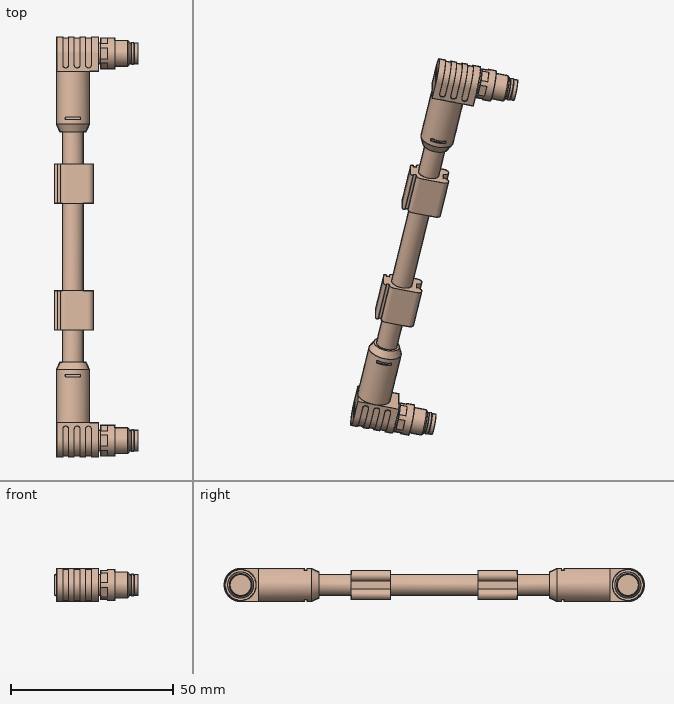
import cadquery as cq
import math

length = 129.6
cable_diameter = 6.5

head_thickness = 10.2
head_radius = head_thickness / 2
head_axis_y = length / 2 - head_radius
head_depth = 10.6
head_left = -5.0
head_right = 7.9
block_end_y = length / 2 - head_depth

grip_depth = 0.32
grip_width = 1.8
grip_count = 3
grip_pitch = 3.5
grip_first_x = -2.2
grip_end_y = length / 2 - 9.6

recess_depth = 0.1
recess_width = 1.7
recess_height = 8.3
recess_start_y = length / 2 - 4.3
recess_corner = 0.4

sleeve_diameter = 10.2
sleeve_end_y = length / 2 - 27.0
cone_end_y = length / 2 - 29.3
cone_end_diameter = 8.0

marker_width = 0.8
marker_length = 4.8
marker_y = length / 2 - 25.1
marker_floor_z = 4.4

neck_diameter = 6.5
nut_start_x = 8.5
nut_end_x = 13.0
nut_diameter = 9.6
nut_flat_count = 6
nut_flat_end_x = 10.6
nut_across_flats = 9.0
body_diameter = 8.0
body_end_x = 17.4
body_chamfer = 0.5
tip_diameter = 6.5
tip_end_x = 20.1
ring_diameter = 6.9
ring_section_diameter = 0.8
ring_groove_diameter = 5.8
ring_groove_width = 1.0
ring_x = 18.4

clip_length = 12.2
clip_y = 19.6
clip_half_height = 4.5
clip_left_x = -3.9
clip_left_half_height = 3.5
clip_top_left_x = -2.3
clip_right_x = 4.7
clip_lobe_radius = 1.7
clip_lobe_z = clip_half_height - clip_lobe_radius
clip_plate_left = -5.7
clip_plate_thickness = 0.9
clip_plate_height = 6.7
clip_plate_rounding = 0.6
clip_web_height = 5.2


def box_between(low, high):
    """Box given by its two opposite corners."""
    size = [b - a for a, b in zip(low, high)]
    return cq.Workplane("XY").box(*size, centered=False).translate(low)


def rod_x(diameter, start_x, end_x):
    """Cylinder about the head axis between two X positions."""
    plane = cq.Workplane("YZ", origin=(start_x, head_axis_y, 0))
    return plane.circle(diameter / 2).extrude(end_x - start_x)


def rod_y(diameter, start_y, end_y):
    """Cylinder about the cable axis between two Y positions."""
    plane = cq.Workplane("XZ", origin=(0, start_y, 0))
    return plane.circle(diameter / 2).extrude(start_y - end_y)


def head_block(inset):
    """Round-ended head; inset shrinks its round end and its top and bottom."""
    half = head_radius - inset
    return (
        cq.Workplane("YZ", origin=(head_left, 0, 0))
        .moveTo(block_end_y, -half)
        .lineTo(head_axis_y, -half)
        .threePointArc((head_axis_y + half, 0), (head_axis_y, half))
        .lineTo(block_end_y, half)
        .close()
        .extrude(head_right - head_left)
    )


def grip_slots():
    """Slots that wrap round the head and end in half circles."""
    outer_y = length / 2 + grip_width
    centres = [(grip_first_x + i * grip_pitch, (grip_end_y + outer_y) / 2) for i in range(grip_count)]
    columns = (
        cq.Workplane("XY")
        .pushPoints(centres)
        .slot2D(outer_y - grip_end_y, grip_width, 90)
        .extrude(head_thickness, both=True)
    )
    return columns.cut(head_block(grip_depth))


def side_recess():
    """Shallow recess whose two corners nearest the sleeve are rounded."""
    recess = box_between(
        (head_left, recess_start_y - recess_width, -recess_height / 2),
        (head_left + recess_depth, recess_start_y, recess_height / 2),
    )
    return recess.edges("|X and <Y").fillet(recess_corner)


def sleeve():
    """Sleeve from the head to the cable, ending in a cone, with marker slots."""
    barrel = rod_y(sleeve_diameter, block_end_y, sleeve_end_y)
    cone = (
        cq.Workplane("XZ", origin=(0, sleeve_end_y, 0))
        .circle(sleeve_diameter / 2)
        .workplane(offset=sleeve_end_y - cone_end_y)
        .circle(cone_end_diameter / 2)
        .loft()
    )
    body = barrel.union(cone)
    marker = (
        cq.Workplane("XY", origin=(0, marker_y, marker_floor_z))
        .slot2D(marker_length, marker_width)
        .extrude(sleeve_diameter / 2)
    )
    return body.cut(marker).cut(marker.mirror("XY"))


def nut():
    """Round nut with hexagon flats on the end next to the head."""
    across_corners = nut_across_flats / math.cos(math.pi / nut_flat_count)
    hexagon = (
        cq.Workplane("YZ", origin=(nut_start_x, head_axis_y, 0))
        .polygon(nut_flat_count, across_corners)
        .extrude(nut_flat_end_x - nut_start_x)
    )
    flats = hexagon.intersect(rod_x(nut_diameter, nut_start_x, nut_flat_end_x))
    return flats.union(rod_x(nut_diameter, nut_flat_end_x, nut_end_x))


def ring_groove():
    """Annular groove in the tip that holds the seal ring."""
    start_x = ring_x - ring_groove_width / 2
    end_x = ring_x + ring_groove_width / 2
    return rod_x(tip_diameter, start_x, end_x).cut(rod_x(ring_groove_diameter, start_x, end_x))


def seal_ring():
    """Ring of round section, sunk a little into the floor of its groove."""
    centre_radius = (ring_diameter - ring_section_diameter) / 2
    return (
        cq.Workplane("XY")
        .center(ring_x, head_axis_y)
        .moveTo(0, centre_radius)
        .circle(ring_section_diameter / 2)
        .revolve(360, (0, 0), (1, 0))
    )


def plug():
    """Everything that projects from the head along +X."""
    neck = rod_x(neck_diameter, head_right, nut_start_x)
    body = rod_x(body_diameter, nut_end_x, body_end_x).faces(">X").chamfer(body_chamfer)
    tip = rod_x(tip_diameter, body_end_x, tip_end_x)
    return neck.union(nut()).union(body).union(tip).cut(ring_groove()).union(seal_ring())


def connector():
    """Complete angled connector at the +Y end."""
    head = head_block(0).cut(grip_slots()).cut(side_recess())
    return head.union(sleeve()).union(plug())


def clip():
    """Clip around the cable with two lobes on +X and a plate on -X."""
    start_y = clip_y - clip_length / 2
    end_y = clip_y + clip_length / 2
    upper_jaw = (
        cq.Workplane("XZ", origin=(0, end_y, 0))
        .moveTo(clip_right_x, 0)
        .lineTo(clip_right_x, clip_half_height)
        .lineTo(clip_top_left_x, clip_half_height)
        .tangentArcPoint((clip_left_x, clip_left_half_height), relative=False)
        .lineTo(clip_left_x, 0)
        .close()
        .extrude(clip_length)
    )
    jaw = upper_jaw.union(upper_jaw.mirror("XY"))
    lobes = (
        cq.Workplane("XZ", origin=(clip_right_x, end_y, 0))
        .pushPoints([(0, clip_lobe_z), (0, -clip_lobe_z)])
        .circle(clip_lobe_radius)
        .extrude(clip_length)
    )
    web = box_between(
        (clip_plate_left, start_y, -clip_web_height / 2),
        (clip_left_x, end_y, clip_web_height / 2),
    )
    plate = box_between(
        (clip_plate_left, start_y, -clip_plate_height / 2),
        (clip_plate_left + clip_plate_thickness, end_y, clip_plate_height / 2),
    )
    plate = plate.edges("|Y and <X").fillet(clip_plate_rounding)
    return jaw.union(lobes).union(web).union(plate)


cable = rod_y(cable_diameter, cone_end_y, -cone_end_y)
half_fittings = connector().union(clip())
result = cable.union(half_fittings).union(half_fittings.mirror("XZ"))